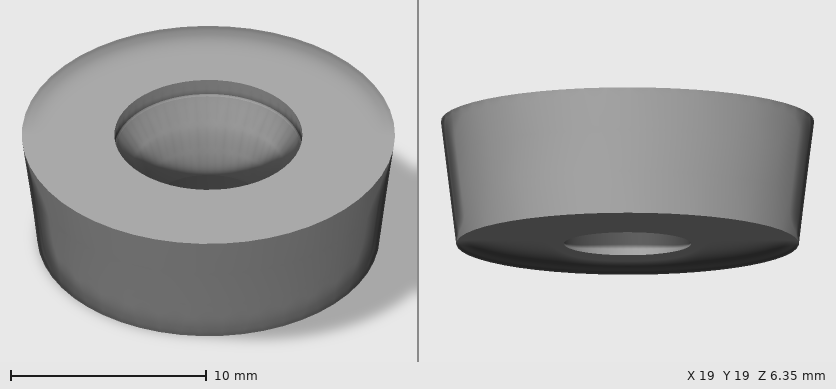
import cadquery as cq
import math

top_diameter = 19.04
height = 6.35
clearance_angle = 7.0

bore_diameter = 6.5
recess_diameter = 9.6
recess_depth = 0.88
ledge_width = 0.1
ledge_drop = 0.08
seat_bottom_depth = 4.85

top_radius = top_diameter / 2
bottom_radius = top_radius - height * math.tan(math.radians(clearance_angle))
bore_radius = bore_diameter / 2
recess_radius = recess_diameter / 2
seat_radius = recess_radius - ledge_width

recess_z = height - recess_depth
seat_top_z = recess_z - ledge_drop
seat_bottom_z = height - seat_bottom_depth

seat_run = seat_radius - bore_radius
seat_drop = seat_top_z - seat_bottom_z
seat_arc_radius = (seat_run**2 + seat_drop**2) / (2 * seat_run)
half_sweep = math.asin(seat_drop / seat_arc_radius) / 2
seat_mid = (
    bore_radius + seat_arc_radius * (1 - math.cos(half_sweep)),
    seat_bottom_z + seat_arc_radius * math.sin(half_sweep),
)

section = (
    cq.Workplane("XZ")
    .moveTo(bore_radius, 0)
    .lineTo(bottom_radius, 0)
    .lineTo(top_radius, height)
    .lineTo(recess_radius, height)
    .lineTo(recess_radius, recess_z)
    .lineTo(seat_radius, seat_top_z)
    .threePointArc(seat_mid, (bore_radius, seat_bottom_z))
    .close()
)

result = section.revolve(360, (0, 0, 0), (0, 1, 0))